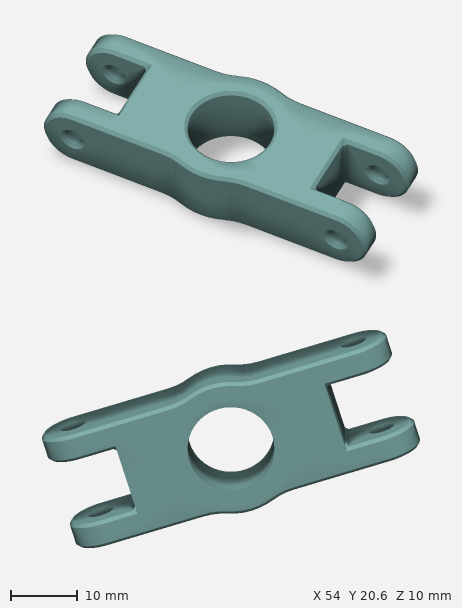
import cadquery as cq
import math

length = 54.0
height = 10.0
end_radius = height / 2
edge_chamfer = 0.5

arm_thickness = 4.0
slot_width = 10.1
slot_floor_x = 16.4
width = slot_width + 2 * arm_thickness

pin_diameter = 3.0
pin_x = length / 2 - end_radius

bore_diameter = 13.0
bulge_radius = 10.325
blend_radius = 10.0


def plan_outline():
    """Rectangle whose long sides bulge around the bore, blended in by concave arcs."""
    half_length = length / 2
    half_width = width / 2
    blend_center_y = half_width + blend_radius
    touch_angle = math.acos(blend_center_y / (bulge_radius + blend_radius))
    blend_center_x = blend_center_y * math.tan(touch_angle)
    touch_x = bulge_radius * math.sin(touch_angle)
    touch_y = bulge_radius * math.cos(touch_angle)
    middle_x = blend_center_x - blend_radius * math.sin(touch_angle / 2)
    middle_y = blend_center_y - blend_radius * math.cos(touch_angle / 2)
    return (
        cq.Workplane("XY")
        .moveTo(-half_length, half_width)
        .lineTo(-blend_center_x, half_width)
        .threePointArc((-middle_x, middle_y), (-touch_x, touch_y))
        .threePointArc((0, bulge_radius), (touch_x, touch_y))
        .threePointArc((middle_x, middle_y), (blend_center_x, half_width))
        .lineTo(half_length, half_width)
        .lineTo(half_length, -half_width)
        .lineTo(blend_center_x, -half_width)
        .threePointArc((middle_x, -middle_y), (touch_x, -touch_y))
        .threePointArc((0, -bulge_radius), (-touch_x, -touch_y))
        .threePointArc((-middle_x, -middle_y), (-blend_center_x, -half_width))
        .lineTo(-half_length, -half_width)
        .close()
    )


def link_blank():
    """Plan outline limited to a side profile with fully rounded ends."""
    plan = plan_outline().extrude(height / 2, both=True)
    profile = cq.Workplane("XZ").slot2D(length, height).extrude(bulge_radius, both=True)
    return plan.intersect(profile)


def cut_fork_slots(body):
    """Cut an open slot through the full height at each end."""
    depth = length / 2 - slot_floor_x
    center_x = slot_floor_x + depth / 2
    slots = (
        cq.Workplane("XY")
        .pushPoints([(-center_x, 0), (center_x, 0)])
        .rect(depth, slot_width)
        .extrude(height / 2, both=True)
    )
    return body.cut(slots)


def chamfer_rims(body):
    """Chamfer the rims of the long sides and fork arms, and the top edges of the slot floors."""
    side_rims = body.faces("|Y").edges("not |Z")
    floor_top_edges = body.faces("|X").edges(">Z")
    return side_rims.add(floor_top_edges).chamfer(edge_chamfer)


def chamfer_slot_corners(body):
    """Chamfer the upright inside corners of both slots, after the rims so the rim mitres stay sharp."""
    return body.faces("|X").edges("|Z").chamfer(edge_chamfer)


def drill_bore(body):
    """Drill the vertical bore and chamfer its top rim."""
    bore = cq.Workplane("XY").circle(bore_diameter / 2).extrude(height / 2, both=True)
    smallest_radius = cq.selectors.RadiusNthSelector(0)
    return body.cut(bore).faces(">Z").edges("%CIRCLE").edges(smallest_radius).chamfer(edge_chamfer)


def drill_pin_holes(body):
    """Drill a pin hole across each fork and chamfer it on both faces of every arm."""
    pins = (
        cq.Workplane("XZ")
        .pushPoints([(-pin_x, 0), (pin_x, 0)])
        .circle(pin_diameter / 2)
        .extrude(width / 2, both=True)
    )
    smallest_radius = cq.selectors.RadiusNthSelector(0)
    return body.cut(pins).faces("|Y").edges("%CIRCLE").edges(smallest_radius).chamfer(edge_chamfer)


link = link_blank()
link = cut_fork_slots(link)
link = chamfer_rims(link)
link = chamfer_slot_corners(link)
link = drill_bore(link)
link = drill_pin_holes(link)
result = link.solids()